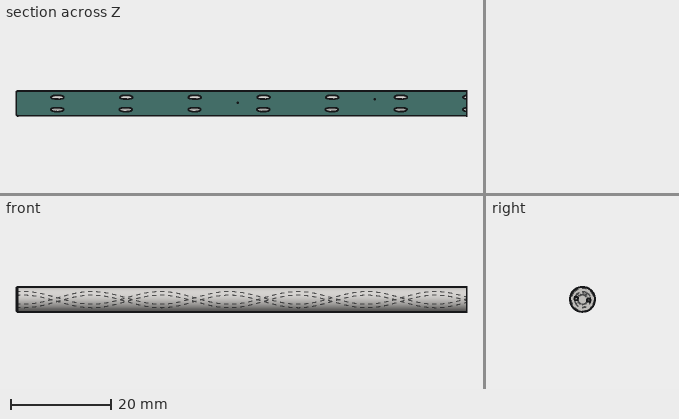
import cadquery as cq
import math

rod_length = 90.0
rod_diameter = 5.0
end_chamfer = 0.3

channel_diameter = 0.7
channel_circle_diameter = 2.5
channel_start_angle = 72.0
channel_count = 2
helix_angle = 30.0
helix_pitch = math.pi * rod_diameter / math.tan(math.radians(helix_angle))
total_twist = 360.0 * rod_length / helix_pitch


def make_rod():
    """Rod centred on the origin, chamfered at its -X end."""
    rod = cq.Workplane("YZ").circle(rod_diameter / 2).extrude(rod_length)
    rod = rod.faces("<X").chamfer(end_chamfer)
    return rod.translate((-rod_length / 2, 0, 0))


def make_channel(start_angle):
    """Right-hand helical channel running the full rod length."""
    angle = math.radians(start_angle)
    radius = channel_circle_diameter / 2
    return (
        cq.Workplane("YZ", origin=(-rod_length / 2, 0, 0))
        .moveTo(radius * math.cos(angle), radius * math.sin(angle))
        .circle(channel_diameter / 2)
        .twistExtrude(rod_length, total_twist)
    )


result = make_rod()
for index in range(channel_count):
    result = result.cut(make_channel(channel_start_angle + index * 360.0 / channel_count))